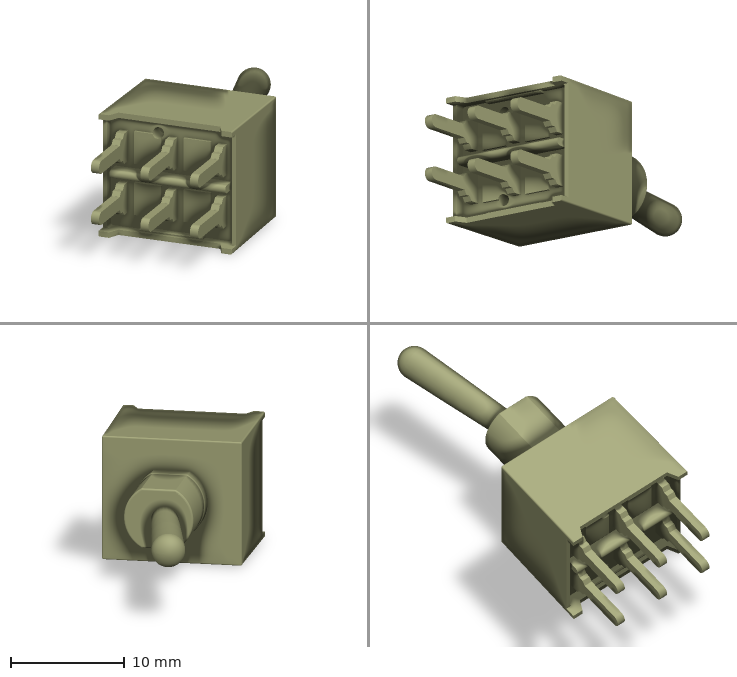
import cadquery as cq
import math


shell_width = 12.7
shell_height = 11.4
shell_depth = 10.55
shell_draft = 0.1
shell_edge_radius = 0.15
panel_wall = 0.5
cavity_width = 11.85
cavity_height = 10.4
cavity_corner_radius = 0.2
side_wall_end = -9.55
notch_top_width = 9.67
notch_mouth_width = 10.68
ridge_width = 6.05
ridge_height = 0.2
ridge_chamfer = 0.1
ridge_depth = 0.57

base_face = -8.6
pad_width = 2.55
pad_height = 3.02
pad_rise = 0.27
vent_diameter = 1.0
vent_depth = 1.35
vent_x = -1.4
vent_z = 4.0
rib_length = 11.0
rib_thickness = 0.75
rib_tip = -10.05

terminal_pitch_x = 4.7
terminal_pitch_z = 4.77
terminal_thickness = 0.77
terminal_tip = -15.3
terminal_seat = 1.0
root_half = 1.4
shoulder_half = 1.0
blade_half = 0.6
root_end = -9.5
shoulder_start = -9.8
shoulder_end = -10.25
blade_start = -10.55

collar_diameter = 6.4
collar_flats = 5.55
collar_length = 1.25
collar_fillet = 0.1
barrel_diameter = 6.2
barrel_flats = 5.4
bushing_length = 6.38
barrel_fillet = 0.17

lever_tilt = 12.2
pivot_y = 3.7
lever_root_diameter = 2.2
grip_start_diameter = 2.75
ball_diameter = 3.0
grip_start = 8.8
ball_tip_y = 18.25

ball_radius = ball_diameter / 2
ball_centre = (ball_tip_y - ball_radius - pivot_y) / math.cos(math.radians(lever_tilt))


def plane_facing_back(y):
    """Plane at the given Y whose local x, y are the part's X, Z; extrudes toward -Y."""
    return cq.Workplane("XZ", origin=(0, y, 0))


def make_shell():
    draft_angle = math.degrees(math.atan(shell_draft / shell_depth))
    shell = (
        cq.Workplane("ZX", origin=(0, -shell_depth, 0))
        .rect(shell_height, shell_width)
        .extrude(shell_depth, taper=draft_angle)
        .edges("not <Y")
        .fillet(shell_edge_radius)
    )

    cavity = (
        plane_facing_back(-panel_wall)
        .rect(cavity_width, cavity_height)
        .extrude(shell_depth)
        .edges("|Y")
        .fillet(cavity_corner_radius)
    )
    shell = shell.cut(cavity)

    side_trim = (
        plane_facing_back(side_wall_end)
        .rect(2 * shell_width, cavity_height)
        .extrude(shell_depth)
    )
    notches = (
        cq.Workplane("XY", origin=(0, 0, -shell_height))
        .polyline([
            (-notch_mouth_width / 2, -shell_depth),
            (-notch_top_width / 2, side_wall_end),
            (notch_top_width / 2, side_wall_end),
            (notch_mouth_width / 2, -shell_depth),
        ])
        .close()
        .extrude(2 * shell_height)
    )
    shell = shell.cut(side_trim).cut(notches)

    for side in (-1, 1):
        ridge = (
            cq.Workplane("XY")
            .box(ridge_width, ridge_depth, 2 * ridge_height)
            .edges("<Y and |X")
            .chamfer(ridge_chamfer)
            .translate((0, base_face - ridge_depth / 2, side * cavity_height / 2))
        )
        shell = shell.union(ridge)
    return shell


def make_base(terminals):
    block_depth = -base_face - panel_wall
    base = (
        plane_facing_back(-panel_wall)
        .rect(cavity_width, cavity_height)
        .extrude(block_depth)
        .edges("|Y")
        .fillet(cavity_corner_radius)
    )
    pads = (
        plane_facing_back(base_face)
        .rarray(terminal_pitch_x, terminal_pitch_z, 2, 2)
        .rect(pad_width, pad_height)
        .extrude(pad_rise)
    )
    rib_radius = rib_thickness / 2
    rib = (
        cq.Workplane("YZ", origin=(-rib_length / 2, 0, 0))
        .moveTo(base_face, rib_radius)
        .lineTo(rib_tip + rib_radius, rib_radius)
        .threePointArc((rib_tip, 0), (rib_tip + rib_radius, -rib_radius))
        .lineTo(base_face, -rib_radius)
        .close()
        .extrude(rib_length)
    )
    vents = (
        plane_facing_back(base_face + vent_depth)
        .pushPoints([(vent_x, -vent_z), (vent_x, vent_z)])
        .circle(vent_diameter / 2)
        .extrude(vent_depth + pad_rise)
    )
    base = base.union(pads).union(rib).cut(vents)
    for terminal in terminals:
        base = base.cut(terminal)
    return base


def make_terminal(x, z):
    seat_y = base_face + terminal_seat
    tip_start = terminal_tip + blade_half
    return (
        cq.Workplane("YZ", origin=(x - terminal_thickness / 2, 0, z))
        .moveTo(seat_y, root_half)
        .lineTo(root_end, root_half)
        .lineTo(shoulder_start, shoulder_half)
        .lineTo(shoulder_end, shoulder_half)
        .lineTo(blade_start, blade_half)
        .lineTo(tip_start, blade_half)
        .threePointArc((terminal_tip, 0), (tip_start, -blade_half))
        .lineTo(blade_start, -blade_half)
        .lineTo(shoulder_end, -shoulder_half)
        .lineTo(shoulder_start, -shoulder_half)
        .lineTo(root_end, -root_half)
        .lineTo(seat_y, -root_half)
        .close()
        .extrude(terminal_thickness)
    )


def flatted_cylinder(diameter, flats, length):
    """Cylinder from Y = 0 toward +Y, cut to the given size across flats in Z."""
    cylinder = plane_facing_back(0).circle(diameter / 2).extrude(-length)
    slab = plane_facing_back(0).rect(2 * diameter, flats).extrude(-length)
    return cylinder.intersect(slab)


def make_bushing(lever):
    collar = flatted_cylinder(collar_diameter, collar_flats, collar_length)
    collar = collar.faces(">Y").fillet(collar_fillet)
    barrel = flatted_cylinder(barrel_diameter, barrel_flats, bushing_length)
    barrel = barrel.faces(">Y").fillet(barrel_fillet)
    return collar.union(barrel).cut(lever)


def make_lever():
    ball_diagonal = ball_radius / math.sqrt(2)
    return (
        cq.Workplane("XY")
        .lineTo(lever_root_diameter / 2, 0)
        .lineTo(grip_start_diameter / 2, grip_start)
        .lineTo(ball_radius, ball_centre)
        .threePointArc(
            (ball_diagonal, ball_centre + ball_diagonal),
            (0, ball_centre + ball_radius),
        )
        .close()
        .revolve(360, (0, 0, 0), (0, 1, 0))
        .rotate((0, 0, 0), (0, 0, 1), lever_tilt)
        .translate((0, pivot_y, 0))
    )


terminals = [
    make_terminal(column * terminal_pitch_x, row * terminal_pitch_z / 2)
    for column in (-1, 0, 1)
    for row in (-1, 1)
]
shell = make_shell()
base = make_base(terminals)
lever = make_lever()
bushing = make_bushing(lever)

result = cq.Compound.makeCompound([
    shell.val(),
    base.val(),
    bushing.val(),
    lever.val(),
    *[terminal.val() for terminal in terminals],
])